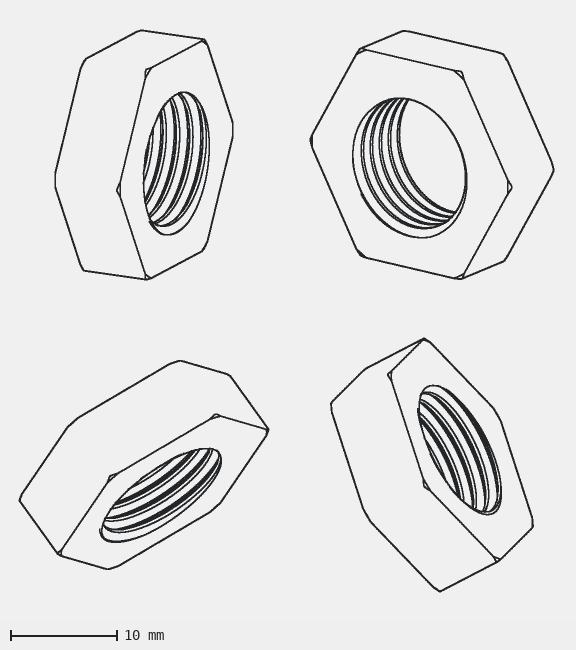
import cadquery as cq
import math

thickness = 6.9
across_flats = 20.6
across_corners = 23.68
edge_chamfer_radial = 0.33
edge_chamfer_axial = 0.17

minor_diameter = 12.79
thread_pitch = 1.411
crest_width = thread_pitch / 4
root_width = thread_pitch / 8
flank_half_angle = math.radians(30)
thread_start_angle = 40.0
cutter_overlap = 0.15

sharp_corners = across_flats / math.cos(math.pi / 6)
corner_radius = (sharp_corners - across_corners) / 2 / (1 / math.cos(math.pi / 6) - 1)
minor_radius = minor_diameter / 2


def hexagon_blank():
    """Rounded hexagonal prism along Z, two corners on the Y axis."""
    return (
        cq.Workplane("XY")
        .polygon(6, sharp_corners)
        .extrude(thickness)
        .edges("|Z")
        .fillet(corner_radius)
        .rotate((0, 0, 0), (0, 0, 1), 90)
    )


def corner_envelope():
    """Chamfered disc that bevels the hexagon corners at both faces."""
    return (
        cq.Workplane("XY")
        .circle(across_corners / 2)
        .extrude(thickness)
        .faces("<Z or >Z")
        .edges()
        .chamfer(edge_chamfer_axial, edge_chamfer_radial)
    )


def thread_cutter():
    """Helical trapezoid running one pitch past each face."""
    opening_width = thread_pitch - crest_width
    groove_depth = (opening_width - root_width) / 2 / math.tan(flank_half_angle)
    major_radius = minor_radius + groove_depth
    inner_radius = minor_radius - cutter_overlap
    inner_half = opening_width / 2 + cutter_overlap * math.tan(flank_half_angle)
    helix_height = thickness + 2 * thread_pitch
    helix = cq.Wire.makeHelix(thread_pitch, helix_height, minor_radius)
    return (
        cq.Workplane("XZ")
        .polyline([
            (inner_radius, -inner_half),
            (major_radius, -root_width / 2),
            (major_radius, root_width / 2),
            (inner_radius, inner_half),
        ])
        .close()
        .sweep(cq.Workplane(obj=helix), isFrenet=True)
        .translate((0, 0, -thread_pitch))
        .rotate((0, 0, 0), (0, 0, 1), thread_start_angle)
    )


blank = hexagon_blank().intersect(corner_envelope())
grooved = blank.cut(thread_cutter())
bore = cq.Workplane("XY").circle(minor_radius).extrude(thickness)
threaded = grooved.cut(bore)

result = threaded.rotate((0, 0, 0), (0, 1, 0), 90).translate((-thickness / 2, 0, 0))